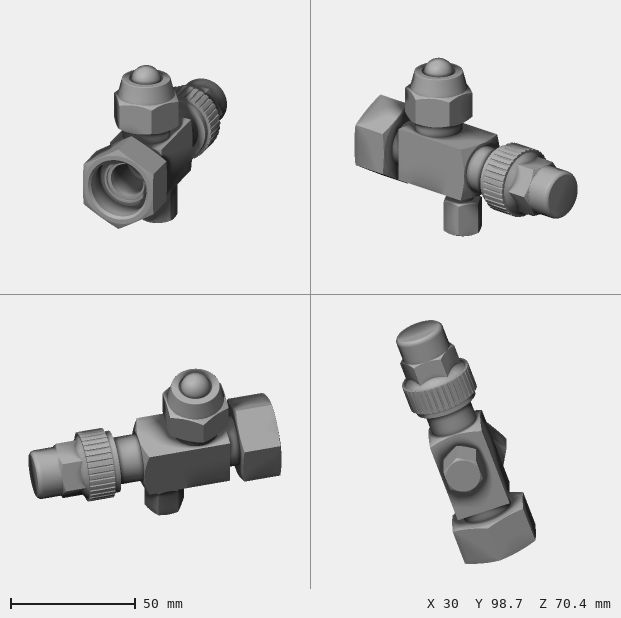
import cadquery as cq
import math

OVERLAP = 0.5

NUT_FLATS = 29.95
NUT_LENGTH = 16.0
NUT_FACE_RADIUS = 14.65
NUT_CHAMFER_ANGLE = 14.0
NUT_BORE_RADIUS = 11.8
NUT_BORE_DEPTH = 11.2
NUT_MOUTH_CHAMFER = 1.0

TAIL_FLANGE_RADIUS = 11.25
TAIL_FLANGE_START = 10.8
TAIL_RADIUS = 9.4
TAIL_START = 9.6
SEAT_RADIUS = 8.5
SEAT_DEPTH = 1.0
PASSAGE_RADIUS = 7.0
PASSAGE_END = 30.0
PASSAGE_END_CHAMFER = 0.85

FRONT_NECK_RADIUS = 10.0
BODY_WIDTH = 22.0
BODY_START = 20.3
BODY_END = 55.5
BODY_CHAMFER_ANGLE = 23.0
REAR_NECK_RADIUS = 9.5

COLLAR_RADIUS = 12.5
COLLAR_START = 65.5
KNURL_RADIUS = 14.1
KNURL_START = 68.2
KNURL_END = 78.5
GROOVE_COUNT = 36
GROOVE_RADIUS = 0.45
GROOVE_PHASE = 2.5
CONE_RADIUS = 12.8
REAR_HEX_FLATS = 20.0
REAR_HEX_END = 88.8
END_RADIUS = 9.9
OVERALL_END = 98.7
ROUNDING_LENGTH = 1.9
ROUNDING_DROP = 1.1

SERVICE_Y = 32.0
SERVICE_NECK_RADIUS = 9.5
CAP_BOTTOM = 16.0
CAP_HEX_TOP = 28.9
CAP_TOP = 36.0
CAP_FLATS = 24.0
CAP_BASE_RADIUS = 11.5
CAP_TOP_RADIUS = 9.7
CAP_RECESS_RADIUS = 6.6
CAP_RECESS_DEPTH = 0.8
CAP_OUTER_ROUND = 0.3
CAP_RECESS_ROUND = 0.45
DOME_RADIUS = 6.0
DOME_TOP = 41.15

GAUGE_Y = 44.9
GAUGE_BOTTOM = -29.29
GAUGE_NUT_TOP = -15.4
GAUGE_NUT_FLATS = 14.0
GAUGE_NUT_FACE_RADIUS = 6.8
GAUGE_NECK_RADIUS = 4.5
GAUGE_FLANGE_RADIUS = 5.6
GAUGE_FLANGE_BOTTOM = -12.8

HEX_CHAMFER_ANGLE = 30.0


def main_axis(y, corner_direction=(1, 0, 0)):
    """Workplane across the main axis, facing +Y."""
    return cq.Workplane(cq.Plane((0, y, 0), corner_direction, (0, 1, 0)))


def port_axis(y, z, corner_direction=(1, 0, 0)):
    """Workplane across a port axis, facing +Z."""
    return cq.Workplane(cq.Plane((0, y, z), corner_direction, (0, 0, 1)))


def rod(y_start, y_end, radius):
    return main_axis(y_start).circle(radius).extrude(y_end - y_start)


def post(y, z_start, z_end, radius):
    return port_axis(y, z_start).circle(radius).extrude(z_end - z_start)


def revolve_plane(plane):
    """Workplane holding the axis of the given one: local x radial, local y axial."""
    base = plane.plane
    return cq.Workplane(cq.Plane(base.origin, base.xDir, base.xDir.cross(base.zDir)))


def spin(half_outline):
    """Revolve a half outline about the axis lying along its local y."""
    return half_outline.close().revolve(360, (0, 0), (0, 1))


def cone_ended_blank(plane, length, face_radius, corner_radius, angle, both_ends=True):
    """Round blank whose coned ends trim the corners of a prism."""
    drop = (corner_radius - face_radius) * math.tan(math.radians(angle))
    outline = [(0, 0)]
    if both_ends:
        outline += [(face_radius, 0), (corner_radius, drop)]
    else:
        outline += [(corner_radius, 0)]
    outline += [(corner_radius, length - drop), (face_radius, length), (0, length)]
    return spin(revolve_plane(plane).polyline(outline))


def hexagon(plane, flats, length, face_radius, angle=HEX_CHAMFER_ANGLE, both_ends=True):
    corner_radius = flats / math.sqrt(3)
    prism = plane.polygon(6, 2 * corner_radius).extrude(length)
    blank = cone_ended_blank(
        plane, length, face_radius, corner_radius, angle, both_ends
    )
    return prism.intersect(blank)


def make_union_nut():
    nut = hexagon(
        main_axis(0, (0, 0, 1)), NUT_FLATS, NUT_LENGTH, NUT_FACE_RADIUS, NUT_CHAMFER_ANGLE
    )
    mouth_radius = NUT_BORE_RADIUS + NUT_MOUTH_CHAMFER
    bore = spin(revolve_plane(main_axis(0)).polyline([
        (0, 0),
        (mouth_radius, 0),
        (NUT_BORE_RADIUS, NUT_MOUTH_CHAMFER),
        (NUT_BORE_RADIUS, NUT_BORE_DEPTH),
        (0, NUT_BORE_DEPTH),
    ]))
    return nut.cut(bore)


def make_tail():
    flange = rod(TAIL_FLANGE_START, NUT_LENGTH, TAIL_FLANGE_RADIUS)
    return flange.union(rod(TAIL_START, NUT_LENGTH, TAIL_RADIUS))


def make_passage():
    seat_end = TAIL_START + SEAT_DEPTH
    seat = rod(TAIL_START, seat_end, SEAT_RADIUS)
    bore = rod(seat_end, PASSAGE_END, PASSAGE_RADIUS)
    return seat.union(bore.faces(">Y").chamfer(PASSAGE_END_CHAMFER))


def make_body():
    length = BODY_END - BODY_START
    half_width = BODY_WIDTH / 2
    block = main_axis(BODY_START).rect(BODY_WIDTH, BODY_WIDTH).extrude(length)
    blank = cone_ended_blank(
        main_axis(BODY_START), length, half_width,
        half_width * math.sqrt(2), BODY_CHAMFER_ANGLE, both_ends=False,
    )
    front_neck = rod(NUT_LENGTH - OVERLAP, BODY_START + OVERLAP, FRONT_NECK_RADIUS)
    rear_neck = rod(BODY_END - OVERLAP, COLLAR_START + OVERLAP, REAR_NECK_RADIUS)
    return block.intersect(blank).union(front_neck).union(rear_neck)


def make_knurled_ring():
    ring = rod(KNURL_START, KNURL_END, KNURL_RADIUS)
    length = KNURL_END - KNURL_START
    for index in range(GROOVE_COUNT):
        angle = math.radians(GROOVE_PHASE + index * 360 / GROOVE_COUNT)
        centre = (KNURL_RADIUS * math.sin(angle), -KNURL_RADIUS * math.cos(angle))
        groove = main_axis(KNURL_START).center(*centre).circle(GROOVE_RADIUS).extrude(length)
        ring = ring.cut(groove)
    collar = rod(COLLAR_START, KNURL_START + OVERLAP, COLLAR_RADIUS)
    cone = spin(revolve_plane(main_axis(KNURL_END)).polyline([
        (0, -OVERLAP),
        (CONE_RADIUS, -OVERLAP),
        (CONE_RADIUS, 0),
        (0, CONE_RADIUS),
    ]))
    cone = cone.intersect(rod(KNURL_END - OVERLAP, REAR_HEX_END, CONE_RADIUS))
    return ring.union(collar).union(cone)


def make_rear_end():
    hex_start = KNURL_END - OVERLAP
    rear_hex = hexagon(
        main_axis(hex_start), REAR_HEX_FLATS, REAR_HEX_END - hex_start,
        REAR_HEX_FLATS / 2, both_ends=False,
    )
    start = REAR_HEX_END - OVERLAP
    length = OVERALL_END - start
    arc_radius = (ROUNDING_LENGTH**2 + ROUNDING_DROP**2) / (2 * ROUNDING_DROP)
    half_angle = math.asin(ROUNDING_LENGTH / arc_radius) / 2
    arc_middle = (
        END_RADIUS - arc_radius * (1 - math.cos(half_angle)),
        length - ROUNDING_LENGTH + arc_radius * math.sin(half_angle),
    )
    end_outline = (
        revolve_plane(main_axis(start))
        .lineTo(END_RADIUS, 0)
        .lineTo(END_RADIUS, length - ROUNDING_LENGTH)
        .threePointArc(arc_middle, (END_RADIUS - ROUNDING_DROP, length))
        .lineTo(0, length)
    )
    return rear_hex.union(spin(end_outline))


def make_service_port():
    neck = post(SERVICE_Y, BODY_WIDTH / 2 - OVERLAP, CAP_BOTTOM + OVERLAP, SERVICE_NECK_RADIUS)
    cap_hex = hexagon(
        port_axis(SERVICE_Y, CAP_BOTTOM), CAP_FLATS, CAP_HEX_TOP - CAP_BOTTOM, CAP_BASE_RADIUS
    )
    shoulder_height = CAP_TOP - CAP_HEX_TOP
    shoulder = (
        port_axis(SERVICE_Y, CAP_HEX_TOP).circle(CAP_BASE_RADIUS)
        .workplane(offset=shoulder_height).circle(CAP_TOP_RADIUS).loft()
    )
    recess_floor = CAP_TOP - CAP_RECESS_DEPTH
    shoulder = shoulder.cut(post(SERVICE_Y, recess_floor, CAP_TOP, CAP_RECESS_RADIUS))
    recess_rim = cq.selectors.RadiusNthSelector(0)
    outer_rim = cq.selectors.RadiusNthSelector(-1)
    shoulder = shoulder.faces(">Z").edges(recess_rim).fillet(CAP_RECESS_ROUND)
    shoulder = shoulder.faces(">Z").edges(outer_rim).fillet(CAP_OUTER_ROUND)
    dome = cq.Workplane().sphere(DOME_RADIUS).translate((0, SERVICE_Y, DOME_TOP - DOME_RADIUS))
    return neck.union(cap_hex).union(shoulder).union(dome)


def make_gauge_port():
    body_bottom = -BODY_WIDTH / 2
    flange = post(GAUGE_Y, GAUGE_FLANGE_BOTTOM, body_bottom + OVERLAP, GAUGE_FLANGE_RADIUS)
    neck = post(GAUGE_Y, GAUGE_NUT_TOP - OVERLAP, body_bottom, GAUGE_NECK_RADIUS)
    nut = hexagon(
        port_axis(GAUGE_Y, GAUGE_BOTTOM, (0, 1, 0)), GAUGE_NUT_FLATS,
        GAUGE_NUT_TOP - GAUGE_BOTTOM, GAUGE_NUT_FACE_RADIUS,
    )
    return flange.union(neck).union(nut)


result = (
    make_union_nut()
    .union(make_tail())
    .union(make_body())
    .union(make_knurled_ring())
    .union(make_rear_end())
    .union(make_service_port())
    .union(make_gauge_port())
    .cut(make_passage())
)